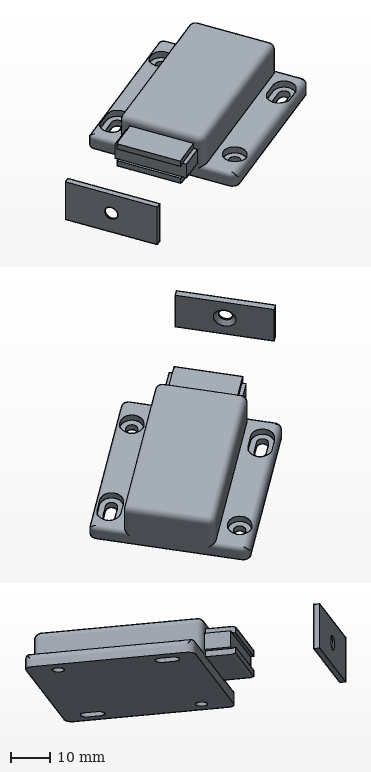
import cadquery as cq
import math

TOTAL_LENGTH = 76.35

BASE_WIDTH = 42.0
HOUSING_LENGTH = 45.05
BASE_HEIGHT = 4.0
BASE_CORNER_RADIUS = 2.05
BASE_SIDE_RADIUS = 2.0
BASE_RIM_RADIUS = 1.2
COVER_WIDTH = 23.9
COVER_HEIGHT = 13.0
COVER_RADIUS = 1.8

SCREW_SPACING_X = 33.8
SCREW_SPACING_Y = 28.9
SCREW_DIAMETER = 3.1
COUNTERBORE_DIAMETER = 6.25
COUNTERBORE_DEPTH = 2.0
SLOT_TRAVEL = 3.3

MAGNET_WIDTH = 20.15
MAGNET_THICKNESS = 4.4
MAGNET_OVERHANG = 6.9
MAGNET_CENTER_Z = 6.7
INSERT_DEPTH = 15.3
POLE_WIDTH = 17.95
POLE_THICKNESS = 1.6
POLE_OVERHANG = 7.95
POLE_STRAIGHT = 6.7
POLE_BEND_ANGLE = 15.0
POLE_BEND_RADIUS = 1.8

STRIKE_WIDTH = 25.9
STRIKE_HEIGHT = 12.1
STRIKE_THICKNESS = 1.6
STRIKE_HOLE_DIAMETER = 3.7
STRIKE_SINK_DIAMETER = 5.95
STRIKE_SINK_ANGLE = 90.0

HOUSING_FRONT = -HOUSING_LENGTH / 2
INSERT_BACK = HOUSING_FRONT + INSERT_DEPTH
STRIKE_FRONT = HOUSING_LENGTH / 2 - TOTAL_LENGTH
MAGNET_LENGTH = MAGNET_OVERHANG + INSERT_DEPTH


def bottom_block(width, length, height):
    """Box standing on Z = 0, centred in X and Y."""
    return cq.Workplane("XY").box(width, length, height, centered=(True, True, False))


def make_base():
    """Flange rounded all round its top rim, and rounded more along its two long sides."""
    block = bottom_block(BASE_WIDTH, HOUSING_LENGTH, BASE_HEIGHT)
    upright = block.edges("|Z").fillet(BASE_CORNER_RADIUS)
    rim_rounded = upright.faces(">Z").edges().fillet(BASE_RIM_RADIUS)
    side_rounded = block.edges(">Z and |Y").fillet(BASE_SIDE_RADIUS)
    return rim_rounded.intersect(side_rounded)


def make_cover():
    """Raised block with its upright and top edges rounded."""
    cover = bottom_block(COVER_WIDTH, HOUSING_LENGTH, COVER_HEIGHT)
    return cover.edges("|Z or >Z").fillet(COVER_RADIUS)


def screw_cutter(x, y, travel):
    """Counterbored screw hole, drawn out along Y by the given travel (0 for a round hole)."""

    def opening(diameter, floor):
        centers = cq.Workplane("XY", origin=(x, y, floor))
        if travel == 0:
            outline = centers.circle(diameter / 2)
        else:
            outline = centers.slot2D(travel + diameter, diameter, angle=90)
        return outline.extrude(BASE_HEIGHT)

    return opening(SCREW_DIAMETER, 0).union(
        opening(COUNTERBORE_DIAMETER, BASE_HEIGHT - COUNTERBORE_DEPTH)
    )


def make_upper_pole():
    """Flat plate on top of the magnet, its front lip bent towards the magnet's mid-plane."""
    bottom = MAGNET_CENTER_Z + MAGNET_THICKNESS / 2
    top = bottom + POLE_THICKNESS
    bend_start = HOUSING_FRONT - POLE_STRAIGHT
    bend_axis_z = top - POLE_BEND_RADIUS
    tip = HOUSING_FRONT - POLE_OVERHANG
    inner_radius = POLE_BEND_RADIUS - POLE_THICKNESS

    def on_bend(radius, degrees):
        angle = math.radians(degrees)
        return (bend_start - radius * math.sin(angle), bend_axis_z + radius * math.cos(angle))

    outer_end = on_bend(POLE_BEND_RADIUS, POLE_BEND_ANGLE)
    inner_end = on_bend(inner_radius, POLE_BEND_ANGLE)
    slope = math.tan(math.radians(POLE_BEND_ANGLE))
    outer_tip = (tip, outer_end[1] - (outer_end[0] - tip) * slope)
    inner_tip = (tip, inner_end[1] - (inner_end[0] - tip) * slope)
    return (
        cq.Workplane("YZ", origin=(-POLE_WIDTH / 2, 0, 0))
        .moveTo(INSERT_BACK, top)
        .lineTo(bend_start, top)
        .threePointArc(on_bend(POLE_BEND_RADIUS, POLE_BEND_ANGLE / 2), outer_end)
        .lineTo(*outer_tip)
        .lineTo(*inner_tip)
        .lineTo(*inner_end)
        .threePointArc(on_bend(inner_radius, POLE_BEND_ANGLE / 2), (bend_start, bottom))
        .lineTo(INSERT_BACK, bottom)
        .close()
        .extrude(POLE_WIDTH)
    )


def make_poles():
    upper = make_upper_pole()
    lower = upper.mirror("XY", (0, 0, MAGNET_CENTER_Z))
    return [upper, lower]


def make_magnet(poles):
    """Block between the poles, its front edges relieved where the pole lips bend over them."""
    magnet = (
        cq.Workplane("XY")
        .box(MAGNET_WIDTH, MAGNET_LENGTH, MAGNET_THICKNESS)
        .translate((0, INSERT_BACK - MAGNET_LENGTH / 2, MAGNET_CENTER_Z))
    )
    for pole in poles:
        magnet = magnet.cut(pole)
    return magnet


def make_housing(inserts):
    housing = make_base().union(make_cover())
    for side_x in (-1, 1):
        for side_y in (-1, 1):
            travel = SLOT_TRAVEL if side_x == side_y else 0
            housing = housing.cut(
                screw_cutter(side_x * SCREW_SPACING_X / 2, side_y * SCREW_SPACING_Y / 2, travel)
            )
    for insert in inserts:
        housing = housing.cut(insert)
    return housing


def make_strike():
    """Plate with one screw hole, countersunk on the face towards the housing."""
    center_z = COVER_HEIGHT - STRIKE_HEIGHT / 2
    plate = (
        cq.Workplane("XZ", origin=(0, STRIKE_FRONT, center_z))
        .rect(STRIKE_WIDTH, STRIKE_HEIGHT)
        .extrude(-STRIKE_THICKNESS)
    )
    return (
        plate.faces(">Y")
        .workplane(centerOption="CenterOfBoundBox")
        .cskHole(STRIKE_HOLE_DIAMETER, STRIKE_SINK_DIAMETER, STRIKE_SINK_ANGLE)
    )


poles = make_poles()
magnet = make_magnet(poles)
housing = make_housing([magnet, *poles])
strike = make_strike()

bodies = [housing, magnet, *poles, strike]
result = cq.Compound.makeCompound([body.solids().val() for body in bodies])